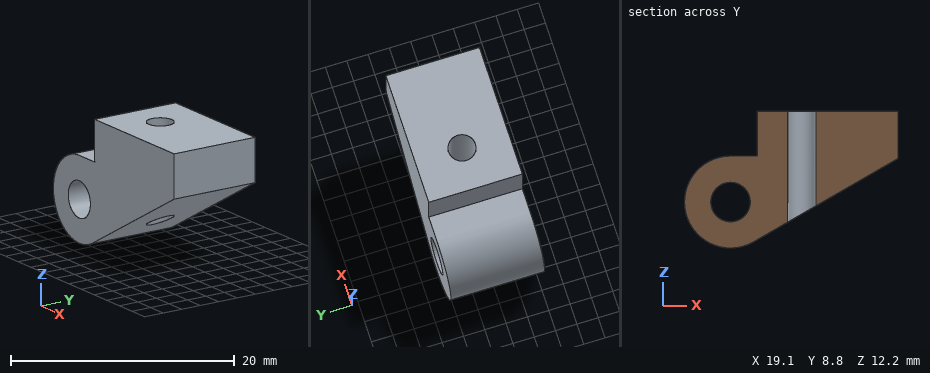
import cadquery as cq
import math

length = 19.1
width = 8.8
block_length = 12.6
step_height = 4.0
barrel_radius = 4.125
pivot_diameter = 3.5
screw_diameter = 2.5
screw_inset = 4.0
underside_angle = math.radians(30)

end_x = length - barrel_radius
step_x = end_x - block_length
top_z = barrel_radius + step_height
screw_x = step_x + screw_inset

tangent_x = barrel_radius * math.sin(underside_angle)
tangent_z = -barrel_radius * math.cos(underside_angle)
end_bottom_z = tangent_z + (end_x - tangent_x) * math.tan(underside_angle)


def make_body():
    """Side profile of barrel, step and sloped block, centred across the width."""
    return (
        cq.Workplane("XZ")
        .moveTo(0, barrel_radius)
        .lineTo(step_x, barrel_radius)
        .lineTo(step_x, top_z)
        .lineTo(end_x, top_z)
        .lineTo(end_x, end_bottom_z)
        .lineTo(tangent_x, tangent_z)
        .threePointArc(
            (-barrel_radius * math.cos(underside_angle / 2),
             barrel_radius * math.sin(underside_angle / 2)),
            (0, barrel_radius),
        )
        .close()
        .extrude(width / 2, both=True)
    )


def make_pivot_hole():
    """Pin hole through the full width, concentric with the barrel."""
    return cq.Workplane("XZ").circle(pivot_diameter / 2).extrude(width / 2, both=True)


def make_screw_hole():
    """Vertical hole from the top face out through the sloped underside."""
    return (
        cq.Workplane("XY", origin=(screw_x, 0, top_z))
        .circle(screw_diameter / 2)
        .extrude(-(top_z + barrel_radius))
    )


result = make_body().cut(make_pivot_hole()).cut(make_screw_hole())